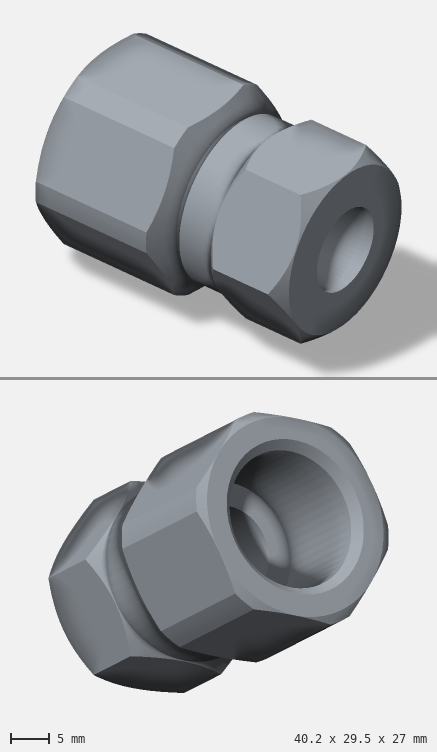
import cadquery as cq
import math

total_length = 40.2
body_hex_end = 18.9
collar_start = 22.15
nut_start = 27.25

body_flats = 27.0
body_corner_diameter = 29.45
neck_diameter = 22.0
collar_diameter = 23.8
nut_flats = 24.0
nut_end_diameter = 23.8
socket_diameter = 18.6
socket_mouth_diameter = 21.0
passage_diameter = 12.0
socket_depth = 16.1

body_chamfer_angle = 30.0
nut_chamfer_angle = 45.0


def cone_length(large_diameter, small_diameter, angle):
    """Axial length of a cone between two diameters."""
    return (large_diameter - small_diameter) / 2 * math.tan(math.radians(angle))


def hexagon(flats, start, end):
    """Hexagonal bar along X with flats at +Z and -Z."""
    corner_diameter = flats / math.cos(math.pi / 6)
    return cq.Workplane("YZ", origin=(start, 0, 0)).polygon(6, corner_diameter).extrude(end - start)


def revolved(profile):
    """Solid of revolution about X from (x, radius) points that start and end on the axis."""
    return cq.Workplane("XY").polyline(profile).close().revolve(360, (0, 0, 0), (1, 0, 0))


def cylinder(diameter, start, end):
    return cq.Workplane("YZ", origin=(start, 0, 0)).circle(diameter / 2).extrude(end - start)


def make_body():
    """Large hexagon with rounded corners, a chamfered mouth and a conical shoulder."""
    mouth_chamfer = cone_length(body_corner_diameter, body_flats, body_chamfer_angle)
    shoulder_end = body_hex_end + cone_length(body_corner_diameter, neck_diameter, body_chamfer_angle)
    envelope = revolved([
        (0, 0),
        (0, body_flats / 2),
        (mouth_chamfer, body_corner_diameter / 2),
        (body_hex_end, body_corner_diameter / 2),
        (shoulder_end, neck_diameter / 2),
        (shoulder_end, 0),
    ])
    return hexagon(body_flats, 0, shoulder_end).intersect(envelope)


def make_nut():
    """Small hexagon with sharp corners, chamfered at both ends."""
    corner_diameter = nut_flats / math.cos(math.pi / 6)
    chamfer = cone_length(corner_diameter, nut_end_diameter, nut_chamfer_angle)
    envelope = revolved([
        (nut_start, 0),
        (nut_start, nut_end_diameter / 2),
        (nut_start + chamfer, corner_diameter / 2),
        (total_length - chamfer, corner_diameter / 2),
        (total_length, nut_end_diameter / 2),
        (total_length, 0),
    ])
    return hexagon(nut_flats, nut_start, total_length).intersect(envelope)


def make_bore():
    """Chamfered socket followed by a narrower passage through the whole length."""
    mouth_depth = (socket_mouth_diameter - socket_diameter) / 2
    return revolved([
        (0, 0),
        (0, socket_mouth_diameter / 2),
        (mouth_depth, socket_diameter / 2),
        (socket_depth, socket_diameter / 2),
        (socket_depth, passage_diameter / 2),
        (total_length, passage_diameter / 2),
        (total_length, 0),
    ])


neck = cylinder(neck_diameter, body_hex_end, collar_start)
collar = cylinder(collar_diameter, collar_start, nut_start)
result = make_body().union(neck).union(collar).union(make_nut()).cut(make_bore())